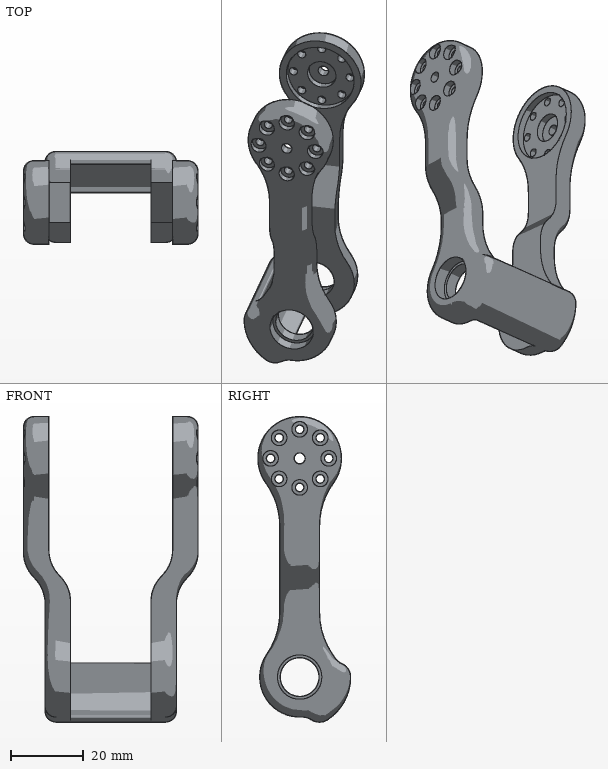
import cadquery as cq
import math

head_height = 60.0
inner_half_gap_low = 11.0
arm_thickness = 7.05
outer_edge_round = 3.0

joggle = 6.0
joggle_radius = 10.0
joggle_start_outer = 20.1
joggle_start_inner = 20.65

head_radius = 11.5
lug_radius = 11.0
neck_width = 11.0
neck_blend_radius = 20.0

lobe_path_radius = 10.0
lobe_end_radius = 4.0
lobe_sweep = 57.0
lobe_blend_radius = 5.0
bridge_edge_round = 0.5

bore_diameter = 10.6
bore_step_diameter = 12.2
bore_step_depth = 3.5

screw_count = 8
screw_circle_radius = 8.0
screw_diameter = 2.3
screw_seat_diameter = 4.3
screw_seat_depth = 2.0
head_center_diameter = 2.9
recess_diameter = 19.05
recess_depth = 2.0
hub_diameter = 8.0
hub_depth = 2.0

neck_half_width = neck_width / 2
inner_half_gap_high = inner_half_gap_low + joggle
lug_outer_x = inner_half_gap_low + arm_thickness
head_outer_x = inner_half_gap_high + arm_thickness
joggle_height = math.sqrt(4 * joggle_radius * joggle - joggle**2)


def polar(radius, degrees):
    """Y and Z of a point around the pivot axis, measured from +Y."""
    angle = math.radians(degrees)
    return radius * math.cos(angle), radius * math.sin(angle)


def rod(diameter, x_start, x_end, y=0.0, z=0.0):
    """Cylinder along X."""
    return cq.Workplane("YZ", origin=(x_start, y, z)).circle(diameter / 2).extrude(x_end - x_start)


def lobe(x_start, x_end):
    """Bent slot shape around the pivot, extruded along X."""
    outer_radius = lobe_path_radius + lobe_end_radius
    sector = (
        cq.Workplane("YZ", origin=(x_start, 0, 0))
        .lineTo(outer_radius, 0)
        .threePointArc(polar(outer_radius, -lobe_sweep / 2), polar(outer_radius, -lobe_sweep))
        .close()
        .extrude(x_end - x_start)
    )
    for angle in (0, -lobe_sweep):
        sector = sector.union(rod(2 * lobe_end_radius, x_start, x_end, *polar(lobe_path_radius, angle)))
    return sector


law_of_cosines_term = lug_radius**2 + lobe_path_radius**2 - lobe_end_radius**2
crossing_cosine = law_of_cosines_term / (2 * lug_radius * lobe_path_radius)
crossing_angle = math.degrees(math.acos(crossing_cosine))
lobe_corners = [polar(lug_radius, crossing_angle), polar(lug_radius, -lobe_sweep - crossing_angle)]


def round_corners(body, corners, radius):
    """Fillet the edges along X that pass through the given Y, Z corners."""
    mid_x = body.val().BoundingBox().center.x
    for y, z in corners:
        edge = body.edges("|X").edges(cq.selectors.NearestToPointSelector((mid_x, y, z)))
        body = edge.fillet(radius)
    return body


def outline_block():
    """Arm outline extruded over the full half width."""
    neck = cq.Workplane("XY").box(head_outer_x, neck_width, head_height, centered=(False, True, False))
    block = neck.union(rod(2 * head_radius, 0, head_outer_x, z=head_height))
    block = block.union(rod(2 * lug_radius, 0, head_outer_x))
    lug_crossing = math.sqrt(lug_radius**2 - neck_half_width**2)
    head_crossing = head_height - math.sqrt(head_radius**2 - neck_half_width**2)
    neck_sides = (-neck_half_width, neck_half_width)
    neck_corners = [(y, z) for y in neck_sides for z in (lug_crossing, head_crossing)]
    block = round_corners(block, neck_corners, neck_blend_radius)
    block = block.union(lobe(0, head_outer_x))
    return round_corners(block, lobe_corners, lobe_blend_radius)


def s_bend(x, z):
    """Points of two equal tangent arcs that climb from (x, z) and step outward by the joggle."""
    half_turn = math.acos(1 - joggle / (2 * joggle_radius)) / 2
    bow = joggle_radius * (1 - math.cos(half_turn))
    climb = joggle_radius * math.sin(half_turn)
    return [
        (x, z),
        (x + bow, z + climb),
        (x + joggle / 2, z + joggle_height / 2),
        (x + joggle - bow, z + joggle_height - climb),
        (x + joggle, z + joggle_height),
    ]


def side_profile():
    """Thickness of the arm across X: lug leg, S-bend and head leg."""
    bottom = -2 * lug_radius
    top = head_height + 2 * head_radius
    outer = s_bend(lug_outer_x, joggle_start_outer)
    inner = s_bend(inner_half_gap_low, joggle_start_inner)
    return (
        cq.Workplane("XZ")
        .moveTo(lug_outer_x, bottom)
        .lineTo(*outer[0])
        .threePointArc(outer[1], outer[2])
        .threePointArc(outer[3], outer[4])
        .lineTo(head_outer_x, top)
        .lineTo(inner_half_gap_high, top)
        .lineTo(*inner[4])
        .threePointArc(inner[3], inner[2])
        .threePointArc(inner[1], inner[0])
        .lineTo(inner_half_gap_low, bottom)
        .close()
        .extrude(2 * head_radius, both=True)
    )


def cut_pivot_bore(arm):
    arm = arm.cut(rod(bore_diameter, 0, lug_outer_x))
    return arm.cut(rod(bore_step_diameter, lug_outer_x - bore_step_depth, lug_outer_x))


def cut_head(arm):
    """Inner recesses, centre hole and the ring of counterbored screw holes."""
    recess_floor = inner_half_gap_high + recess_depth
    seat_floor = head_outer_x - screw_seat_depth
    arm = arm.cut(rod(recess_diameter, inner_half_gap_high, recess_floor, z=head_height))
    arm = arm.cut(rod(hub_diameter, recess_floor, recess_floor + hub_depth, z=head_height))
    arm = arm.cut(rod(head_center_diameter, 0, head_outer_x, z=head_height))
    for index in range(screw_count):
        y, z = polar(screw_circle_radius, 360 * index / screw_count)
        arm = arm.cut(rod(screw_diameter, 0, head_outer_x, y, head_height + z))
        arm = arm.cut(rod(screw_seat_diameter, seat_floor, head_outer_x, y, head_height + z))
    return arm


def make_arm():
    arm = outline_block().intersect(side_profile())
    arm = arm.faces(">X").edges().fillet(outer_edge_round)
    return cut_head(cut_pivot_bore(arm))


def make_bridge():
    """Part of the lobe outside the lug circle, spanning the gap between the arms."""
    span = (-inner_half_gap_low, inner_half_gap_low)
    bridge = lobe(*span).cut(rod(2 * lug_radius, *span))
    return round_corners(bridge, lobe_corners, bridge_edge_round)


arm = make_arm()
result = make_bridge().union(arm).union(arm.mirror("YZ"))